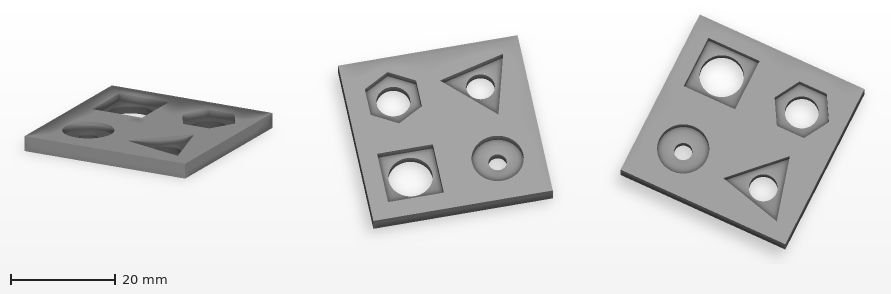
import cadquery as cq

plate_side = 35
plate_thickness = 3.0

pocket_offset = 8.5
pocket_depth = 1.5

square_side = 10.9
round_diameter = 10.0
hexagon_corner_diameter = 11.55
triangle_corner_diameter = 15.58
triangle_turn = 75

square_hole_diameter = 8.5
hexagon_hole_diameter = 6.5
round_hole_diameter = 3.5
triangle_hole_diameter = 5.5


def top_plane(x, y, turn=0):
    """Plane on the top face, centred at (x, y) and turned about Z."""
    plane = cq.Plane(origin=(x, y, plate_thickness))
    return cq.Workplane(plane.rotated((0, 0, turn)))


def pocket_with_hole(outline, hole_diameter):
    """Cutter for a blind pocket and the through hole at its centre."""
    pocket = outline.extrude(-pocket_depth)
    center = outline.plane.origin
    hole = top_plane(center.x, center.y).circle(hole_diameter / 2).extrude(-plate_thickness)
    return pocket.union(hole)


square = top_plane(-pocket_offset, pocket_offset).rect(square_side, square_side)
hexagon = top_plane(pocket_offset, pocket_offset).polygon(6, hexagon_corner_diameter)
disc = top_plane(-pocket_offset, -pocket_offset).circle(round_diameter / 2)
triangle = top_plane(pocket_offset, -pocket_offset, triangle_turn).polygon(3, triangle_corner_diameter)

result = (
    cq.Workplane("XY")
    .box(plate_side, plate_side, plate_thickness, centered=(True, True, False))
    .cut(pocket_with_hole(square, square_hole_diameter))
    .cut(pocket_with_hole(hexagon, hexagon_hole_diameter))
    .cut(pocket_with_hole(disc, round_hole_diameter))
    .cut(pocket_with_hole(triangle, triangle_hole_diameter))
)